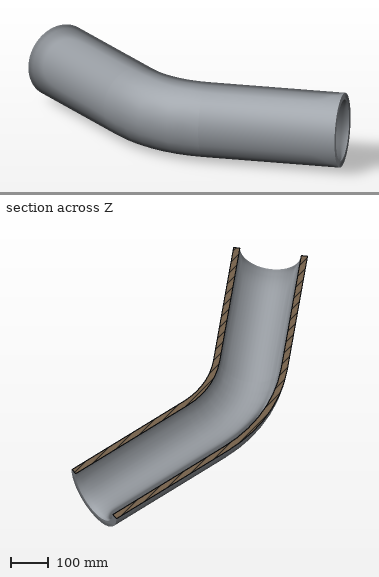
import cadquery as cq
import math

overall_length = 916.0
outer_diameter = 200.0
bore_diameter = 164.0
bend_radius = 300.0
bend_angle = math.radians(45)

bend_sine = math.sin(bend_angle)
bend_cosine = math.cos(bend_angle)
bend_reach = (bend_radius + outer_diameter / 2) * bend_sine
leg_length = (overall_length - bend_reach) / (1 + bend_cosine)


def bend_point(angle):
    """Point on the bend centreline after turning by angle from the first leg."""
    x = leg_length + bend_radius * math.sin(angle)
    y = bend_radius * (1 - math.cos(angle))
    return x, y


bend_end_x, bend_end_y = bend_point(bend_angle)
second_end = (
    bend_end_x + leg_length * bend_cosine,
    bend_end_y + leg_length * bend_sine,
)
centreline = (
    cq.Workplane("XY")
    .lineTo(leg_length, 0)
    .threePointArc(bend_point(bend_angle / 2), bend_point(bend_angle))
    .lineTo(*second_end)
)

result = (
    cq.Workplane("YZ")
    .circle(outer_diameter / 2)
    .circle(bore_diameter / 2)
    .sweep(centreline)
)